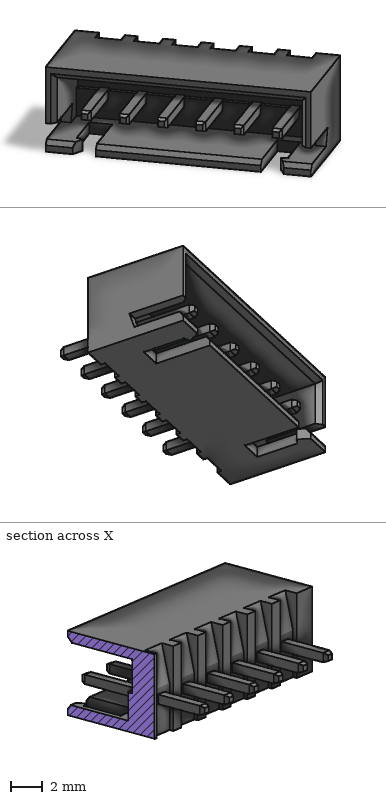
import cadquery as cq


length = 17.4
depth = 7.03
height = 5.7
floor = 0.77
side_wall = 0.68
top_wall = 0.77

cavity_depth = 5.22
ledge_depth = 4.87
ledge_height = 2.66
mouth_bevel = 0.35

edge_run = 0.26
edge_drop = 0.33

window_top = 1.91
window_depth_low = 3.6
window_depth_high = 3.97

arm_width = 1.77
floor_slot_end = 3.29
floor_slot_depth = 3.97
hook_reach = 0.44
hook_ramp = 0.8
hook_back = 0.21

pin_count = 6
pin_pitch = 2.5
pin_width = 0.65
pin_axis_height = 2.4
pin_front = 0.5
pin_rear = 10.4
pin_tip_width = 0.4
pin_tip_length = 0.31

notch_width = 1.69
notch_depth_low = 0.3
notch_depth_high = 0.92
notch_slope_bottom = 3.17

middle = length / 2
pin_positions = [middle + (i - (pin_count - 1) / 2) * pin_pitch for i in range(pin_count)]


def box(x0, x1, y0, y1, z0, z1):
    """Block between two opposite corners."""
    return cq.Workplane("XY").box(x1 - x0, y1 - y0, z1 - z0, centered=False).translate((x0, y0, z0))


def side_prism(points, x0, x1):
    """Outline of (y, z) points extruded from x0 to x1."""
    return cq.Workplane("YZ", origin=(x0, 0, 0)).polyline(points).close().extrude(x1 - x0)


def cavity():
    """Pocket open at the front, with its ledge and the 45 degree bevel around the mouth."""
    inner_right = length - side_wall
    inner_top = height - top_wall
    upper = box(side_wall, inner_right, 0, cavity_depth, ledge_height, inner_top)
    lower = box(side_wall, inner_right, 0, ledge_depth, floor, ledge_height)
    mouth_height = inner_top - floor
    bevel = (
        cq.Workplane("XZ", origin=(middle, 0, floor))
        .center(0, (mouth_height + mouth_bevel) / 2)
        .rect(length - 2 * (side_wall - mouth_bevel), mouth_height + mouth_bevel)
        .workplane(offset=-mouth_bevel)
        .center(0, -mouth_bevel / 2)
        .rect(length - 2 * side_wall, mouth_height)
        .loft(ruled=True)
    )
    return upper.union(lower).union(bevel)


def side_windows():
    """Openings through both side walls, just above the latch arms."""
    outline = [(0, floor), (window_depth_low, floor), (window_depth_high, window_top), (0, window_top)]
    left = side_prism(outline, 0, side_wall)
    right = side_prism(outline, length - side_wall, length)
    return left.union(right)


def floor_edge_bevel():
    """Wedge removed along the upper front edge of the floor."""
    return side_prism([(0, floor), (edge_run, floor), (0, floor - edge_drop)], 0, length)


def floor_slots():
    """Slots through the floor that leave a hooked latch arm on each side."""
    hook_tip = arm_width + hook_reach
    outline = [
        (arm_width, 0),
        (hook_tip, hook_ramp),
        (arm_width, hook_ramp + hook_back),
        (arm_width, floor_slot_depth),
        (floor_slot_end, floor_slot_depth),
        (floor_slot_end, 0),
    ]
    left = cq.Workplane("XY").polyline(outline).close().extrude(floor)
    right = left.mirror("YZ", (middle, 0, 0))
    return left.union(right)


def rear_notch(x):
    """Notch over the full height behind a pin, its upper part sloping deeper towards the top."""
    outline = [
        (depth, 0),
        (depth - notch_depth_low, 0),
        (depth - notch_depth_low, notch_slope_bottom),
        (depth - notch_depth_high, height),
        (depth, height),
    ]
    return side_prism(outline, x - notch_width / 2, x + notch_width / 2)


def pin(x):
    """Square pin along Y, tapered at both ends."""
    shank_length = pin_rear - pin_front - 2 * pin_tip_length
    front_end = cq.Workplane("XZ", origin=(x, pin_front + pin_tip_length, pin_axis_height))
    rear_end = front_end.workplane(offset=-shank_length)
    body = front_end.rect(pin_width, pin_width).extrude(-shank_length)
    for end, tip_offset in ((front_end, pin_tip_length), (rear_end, -pin_tip_length)):
        tip = (
            end.rect(pin_width, pin_width)
            .workplane(offset=tip_offset)
            .rect(pin_tip_width, pin_tip_width)
            .loft(ruled=True)
        )
        body = body.union(tip)
    return body


result = box(0, length, 0, depth, 0, height)
for cut in (cavity(), side_windows(), floor_edge_bevel(), floor_slots()):
    result = result.cut(cut)
for x in pin_positions:
    result = result.cut(rear_notch(x))
for x in pin_positions:
    result = result.union(pin(x))